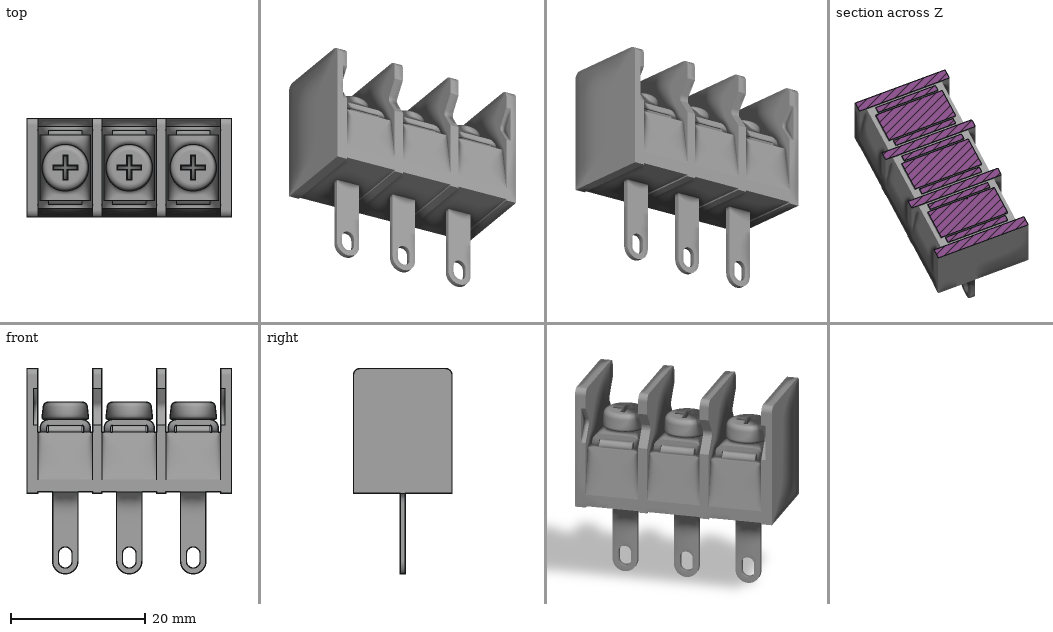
import cadquery as cq
import math


POLES = 3
PITCH = 9.525
LENGTH = 30.5
DEPTH = 14.7
WALL_HEIGHT = 18.6
DIVIDER_THICKNESS = 1.4
BAY_WIDTH = PITCH - DIVIDER_THICKNESS
END_WALL_THICKNESS = (LENGTH - POLES * PITCH + DIVIDER_THICKNESS) / 2
WALL_CORNER_RADIUS = 1.0

PEDESTAL_BOTTOM = 0.22
PEDESTAL_TOP = 9.1
SLOPE_START = 2.05
SLOPE_INSET = 1.25

NOTCH_BOTTOM = 10.2
NOTCH_TOP = 15.6
NOTCH_DEPTH = 2.0
NOTCH_TIP_RADIUS = 0.92
END_RECESS = 0.7

BAR_WIDTH = 5.05
BAR_LENGTH = 11.0
BAR_TOP = 10.13
BAR_EDGE_RADIUS = 1.0

CLAMP_WIDTH = 7.5
CLAMP_LENGTH = 9.8
CLAMP_TOP = 11.0
CLAMP_OPENING = 5.45
CLAMP_OUTER_RADIUS = 1.28
CLAMP_INNER_RADIUS = 0.25

HEAD_TOP = 13.6
HEAD_RIM_Z = 11.35
HEAD_RIM_RADIUS = 3.47
HEAD_SHOULDER_Z = 12.87
HEAD_SHOULDER_RADIUS = 3.3
HEAD_FLAT_RADIUS = 2.5
HEAD_SEAT_RADIUS = 3.15
CROSS_LENGTH = 3.72
CROSS_WIDTH = 0.75
CROSS_DEPTH = 1.0
CROSS_INSET = 0.12

LUG_WIDTH = 3.8
LUG_THICKNESS = 0.8
LUG_LENGTH = 12.0
LUG_SLOT_WIDTH = 2.0
LUG_SLOT_LENGTH = 3.1


def box(x_size, y_size, z_bottom, z_top):
    """Box centred on X and Y between two heights."""
    return cq.Workplane("XY").workplane(offset=z_bottom).rect(x_size, y_size).extrude(z_top - z_bottom)


def wall(thickness):
    """Upright wall with rounded upper corners, centred on X."""
    return box(thickness, DEPTH, 0, WALL_HEIGHT).edges("|X and >Z").fillet(WALL_CORNER_RADIUS)


def notch_pair(width):
    """Cutters for the front and back notches of a wall, centred on X."""
    middle = (NOTCH_BOTTOM + NOTCH_TOP) / 2
    front = (
        cq.Workplane("YZ")
        .moveTo(-DEPTH / 2, NOTCH_BOTTOM)
        .lineTo(-DEPTH / 2 + NOTCH_DEPTH, middle)
        .lineTo(-DEPTH / 2, NOTCH_TOP)
        .close()
        .extrude(width / 2, both=True)
        .edges("|X and >Y")
        .fillet(NOTCH_TIP_RADIUS)
    )
    return front.union(front.mirror("XZ"))


def divider():
    """Wall between two bays, notched through its full thickness."""
    return wall(DIVIDER_THICKNESS).cut(notch_pair(DIVIDER_THICKNESS))


def left_end_wall():
    """Outer wall with notches recessed only into its inner face."""
    recess_x = (END_WALL_THICKNESS - END_RECESS) / 2
    recesses = notch_pair(END_RECESS).translate((recess_x, 0, 0))
    wall_x = (END_WALL_THICKNESS - LENGTH) / 2
    return wall(END_WALL_THICKNESS).cut(recesses).translate((wall_x, 0, 0))


def pedestal():
    """Floor of a bay with sloped front and back faces."""
    half_depth = DEPTH / 2
    half_top = half_depth - SLOPE_INSET
    outline = [
        (-half_depth, PEDESTAL_BOTTOM),
        (half_depth, PEDESTAL_BOTTOM),
        (half_depth, SLOPE_START),
        (half_top, PEDESTAL_TOP),
        (-half_top, PEDESTAL_TOP),
        (-half_depth, SLOPE_START),
    ]
    return cq.Workplane("YZ").polyline(outline).close().extrude(BAY_WIDTH / 2, both=True)


def contact_bar():
    """Bar with rounded front and back upper edges."""
    return box(BAR_WIDTH, BAR_LENGTH, PEDESTAL_TOP, BAR_TOP).edges("|X and >Z").fillet(BAR_EDGE_RADIUS)


def clamp():
    """Inverted channel with rounded shoulders, open at front and back."""
    body = box(CLAMP_WIDTH, CLAMP_LENGTH, PEDESTAL_TOP, CLAMP_TOP)
    body = body.edges("|Y and >Z").fillet(CLAMP_OUTER_RADIUS)
    opening = box(CLAMP_OPENING, CLAMP_LENGTH, PEDESTAL_TOP, BAR_TOP)
    opening = opening.edges("|Y and >Z").fillet(CLAMP_INNER_RADIUS)
    return body.cut(opening)


def tapered_slot(x_size, y_size):
    """Cutter sunk into the screw head, narrowing by CROSS_INSET per side at its floor."""
    taper_angle = math.degrees(math.atan2(CROSS_INSET, CROSS_DEPTH))
    return (
        cq.Workplane("XY")
        .workplane(offset=HEAD_TOP)
        .rect(x_size, y_size)
        .extrude(-CROSS_DEPTH, taper=taper_angle)
    )


def screw_head():
    """Pan head with a slightly flared rim and a tapered cross recess."""
    head = (
        cq.Workplane("XZ")
        .moveTo(0, CLAMP_TOP)
        .lineTo(HEAD_SEAT_RADIUS, CLAMP_TOP)
        .tangentArcPoint((HEAD_RIM_RADIUS, HEAD_RIM_Z), relative=False)
        .lineTo(HEAD_SHOULDER_RADIUS, HEAD_SHOULDER_Z)
        .tangentArcPoint((HEAD_FLAT_RADIUS, HEAD_TOP), relative=False)
        .lineTo(0, HEAD_TOP)
        .close()
        .revolve(360, (0, 0), (0, 1))
    )
    along_x = tapered_slot(CROSS_LENGTH, CROSS_WIDTH)
    along_y = tapered_slot(CROSS_WIDTH, CROSS_LENGTH)
    return head.cut(along_x).cut(along_y)


def solder_lug():
    """Flat tab with a round end and a slot whose lower end is concentric with it."""
    end_radius = LUG_WIDTH / 2
    end_z = end_radius - LUG_LENGTH
    slot_z = end_z + (LUG_SLOT_LENGTH - LUG_SLOT_WIDTH) / 2
    blade = box(LUG_WIDTH, LUG_THICKNESS, end_z, PEDESTAL_BOTTOM)
    tip = cq.Workplane("XZ").center(0, end_z).circle(end_radius).extrude(LUG_THICKNESS / 2, both=True)
    slot = (
        cq.Workplane("XZ")
        .center(0, slot_z)
        .slot2D(LUG_SLOT_LENGTH, LUG_SLOT_WIDTH, 90)
        .extrude(LUG_THICKNESS, both=True)
    )
    return blade.union(tip).cut(slot)


def pole():
    """Everything that belongs to one bay, centred on X."""
    return pedestal().union(contact_bar()).union(clamp()).union(screw_head()).union(solder_lug())


end_wall = left_end_wall()
result = end_wall.union(end_wall.mirror("YZ"))
for index in range(POLES):
    bay_x = (index - (POLES - 1) / 2) * PITCH
    result = result.union(pole().translate((bay_x, 0, 0)))
for index in range(POLES - 1):
    divider_x = (index - (POLES - 2) / 2) * PITCH
    result = result.union(divider().translate((divider_x, 0, 0)))